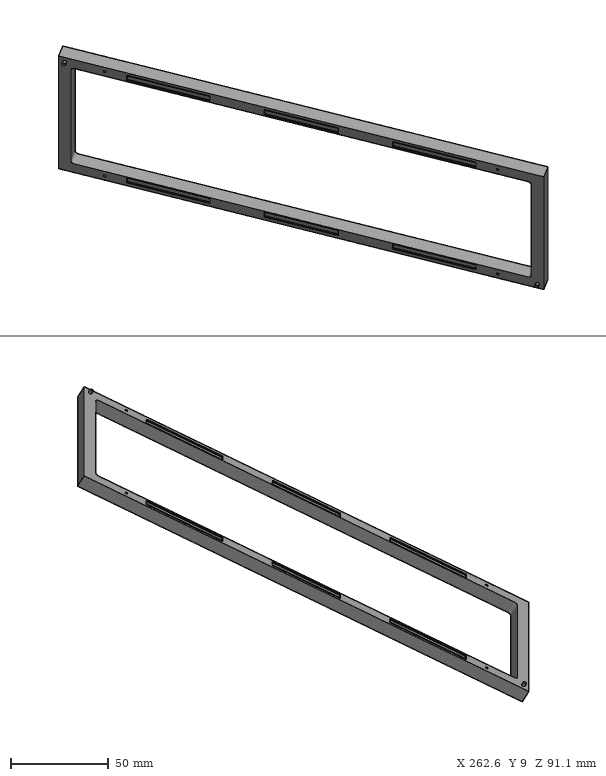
import cadquery as cq

length = 262.6
height = 91.1
pin_projection = 1.8
overall_depth = 9.0
depth = overall_depth - pin_projection
side_wall = 6.8
rail_wall = 7.0
window_radius = 1.8
front_y = -depth / 2

edge_inset = 3.5
pin_diameter = 2.0
hole_diameter = 1.3
hole_x = 106.5
fixing_z = height / 2 - edge_inset
pin_x = length / 2 - edge_inset

pocket_height = 4.0
pocket_depth = 0.8
pocket_radius = 0.5
pocket_chamfer = 0.3
pocket_lip = 0.8
end_pocket_length = 45.2
end_pocket_x = 72.0
middle_pocket_length = 40.2
pocket_z = height / 2 - rail_wall + pocket_lip + pocket_height / 2


def front_plane(y):
    """Sketch plane at the given y: local x is X, local y is Z, extrusion runs toward -Y."""
    return cq.Workplane("XZ", origin=(0, y, 0))


def make_frame():
    """Rectangular frame with a rounded window."""
    outer = cq.Workplane("XY").box(length, depth, height)
    window = (
        cq.Workplane("XY")
        .box(length - 2 * side_wall, depth, height - 2 * rail_wall)
        .edges("|Y")
        .fillet(window_radius)
    )
    return outer.cut(window)


def make_pocket(x, z, pocket_length):
    """Cutter for one round-cornered pocket whose floor edge is chamfered."""
    return (
        front_plane(front_y + pocket_depth)
        .center(x, z)
        .rect(pocket_length, pocket_height)
        .extrude(pocket_depth)
        .edges("|Y")
        .fillet(pocket_radius)
        .faces(">Y")
        .chamfer(pocket_chamfer)
    )


result = make_frame()

for z in (-pocket_z, pocket_z):
    result = result.cut(make_pocket(-end_pocket_x, z, end_pocket_length))
    result = result.cut(make_pocket(0, z, middle_pocket_length))
    result = result.cut(make_pocket(end_pocket_x, z, end_pocket_length))

hole_points = [(x, z) for x in (-hole_x, hole_x) for z in (-fixing_z, fixing_z)]
holes = front_plane(depth / 2).pushPoints(hole_points).circle(hole_diameter / 2).extrude(depth)
result = result.cut(holes)

pin_points = [(-pin_x, fixing_z), (pin_x, -fixing_z)]
pins = (
    front_plane(0)
    .pushPoints(pin_points)
    .circle(pin_diameter / 2)
    .extrude(depth / 2 + pin_projection)
)
result = result.union(pins)